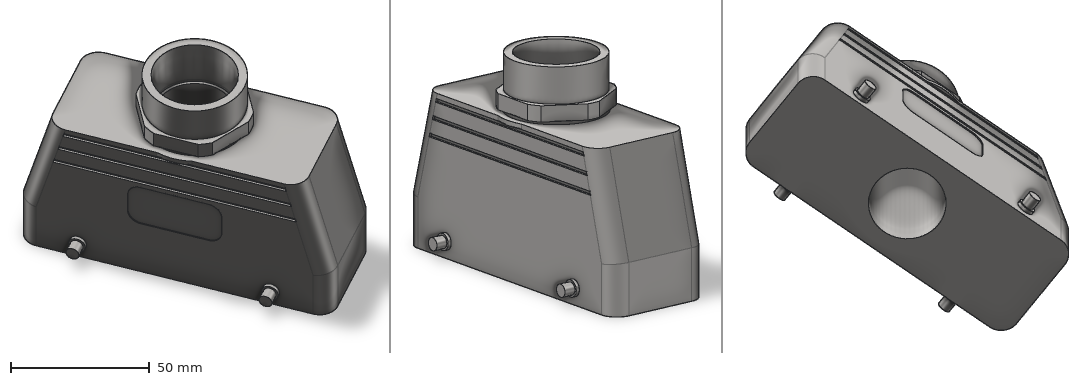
import cadquery as cq
import math

BODY_LENGTH = 120.0
BODY_WIDTH = 43.0
BODY_HEIGHT = 61.0
TOP_LENGTH = 98.0
STRAIGHT_HEIGHT = 20.2
CORNER_RADIUS = 7.0

PAD_DIAMETER = 45.0
PAD_THICKNESS = 1.9

COLLAR_DIAMETER = 39.0
HEX_BOTTOM = 62.4
HEX_TOP = 68.5
HEX_ACROSS_FLATS = 40.0
HEX_ACROSS_CORNERS = HEX_ACROSS_FLATS / math.cos(math.radians(30))
HEX_CORNER_DIAMETER = 43.5
NECK_DIAMETER = 38.0
TOTAL_HEIGHT = 82.5

MOUTH_DIAMETER = 31.5
MOUTH_END_DIAMETER = 30.4
TAPER_DEPTH = 16.5
LEDGE_DEPTH = 17.5
PASSAGE_DIAMETER = 28.0

GROOVE_COUNT = 3
GROOVE_PITCH = 7.0
GROOVE_HEIGHT = 1.5
GROOVE_DEPTH = 1.0
LOWEST_GROOVE = 43.5

PANEL_LENGTH = 36.0
PANEL_HEIGHT = 17.9
PANEL_CENTER_HEIGHT = 32.6
PANEL_CORNER_RADIUS = 5.0
PANEL_DEPTH = 0.5

PIN_SPACING = 73.9
PIN_HEIGHT = 6.5
PIN_DIAMETER = 4.9
PIN_TIP_SPAN = 55.0
PIN_COLLAR_DIAMETER = 6.5
PIN_COLLAR_LENGTH = 1.5


def disc(diameter, bottom, top):
    """Vertical cylinder on the Z axis between two heights."""
    return cq.Workplane("XY").workplane(offset=bottom).circle(diameter / 2).extrude(top - bottom)


def hood_body():
    """Block with a straight foot, sloped ends and rounded upright edges."""
    outline = [
        (-BODY_LENGTH / 2, 0),
        (BODY_LENGTH / 2, 0),
        (BODY_LENGTH / 2, STRAIGHT_HEIGHT),
        (TOP_LENGTH / 2, BODY_HEIGHT),
        (-TOP_LENGTH / 2, BODY_HEIGHT),
        (-BODY_LENGTH / 2, STRAIGHT_HEIGHT),
    ]
    block = cq.Workplane("XZ").polyline(outline).close().extrude(BODY_WIDTH / 2, both=True)
    end_faces = block.faces("<X or >X").edges("|Z")
    sloped_edges = block.edges("not(|X or |Y or |Z)")
    return block.newObject(end_faces.vals() + sloped_edges.vals()).edges().fillet(CORNER_RADIUS)


def groove_cutter():
    """Grooves that stop where the flat long side meets the rounded corners."""
    slope = math.atan2((BODY_LENGTH - TOP_LENGTH) / 2, BODY_HEIGHT - STRAIGHT_HEIGHT)

    def half_flat(height):
        half_length = BODY_LENGTH / 2 - (height - STRAIGHT_HEIGHT) * math.tan(slope)
        return half_length - CORNER_RADIUS / math.cos(slope)

    cutter = cq.Workplane("XY")
    for index in range(GROOVE_COUNT):
        bottom = LOWEST_GROOVE + index * GROOVE_PITCH
        top = bottom + GROOVE_HEIGHT
        outline = [
            (-half_flat(bottom), bottom),
            (half_flat(bottom), bottom),
            (half_flat(top), top),
            (-half_flat(top), top),
        ]
        bar = cq.Workplane("XZ").polyline(outline).close().extrude(BODY_WIDTH / 2, both=True)
        cutter = cutter.add(bar)
    core_width = BODY_WIDTH - 2 * GROOVE_DEPTH
    core = cq.Workplane("XY").box(BODY_LENGTH, core_width, BODY_HEIGHT, centered=(True, True, False))
    return cutter.combine().cut(core)


def panel_cutter():
    """Rounded rectangle sunk into the -Y side."""
    return (
        cq.Workplane("XZ", origin=(0, -BODY_WIDTH / 2, PANEL_CENTER_HEIGHT))
        .rect(PANEL_LENGTH, PANEL_HEIGHT)
        .extrude(-PANEL_DEPTH)
        .edges("|Y")
        .fillet(PANEL_CORNER_RADIUS)
    )


def pins():
    """Four stepped pins, built as two pairs that pass through the body."""
    centers = [(-PIN_SPACING / 2, PIN_HEIGHT), (PIN_SPACING / 2, PIN_HEIGHT)]
    plane = cq.Workplane("XZ").pushPoints(centers)
    tips = plane.circle(PIN_DIAMETER / 2).extrude(PIN_TIP_SPAN / 2, both=True)
    collar_reach = BODY_WIDTH / 2 + PIN_COLLAR_LENGTH
    collars = plane.circle(PIN_COLLAR_DIAMETER / 2).extrude(collar_reach, both=True)
    return tips.union(collars)


def gland():
    """Collar, hexagon with rounded-off corners, and neck."""
    hexagon = (
        cq.Workplane("XY")
        .workplane(offset=HEX_BOTTOM)
        .polygon(6, HEX_ACROSS_CORNERS)
        .extrude(HEX_TOP - HEX_BOTTOM)
        .intersect(disc(HEX_CORNER_DIAMETER, HEX_BOTTOM, HEX_TOP))
    )
    collar = disc(COLLAR_DIAMETER, BODY_HEIGHT, HEX_BOTTOM)
    neck = disc(NECK_DIAMETER, HEX_TOP, TOTAL_HEIGHT)
    return collar.union(hexagon).union(neck)


def bore_cutter():
    """Tapered mouth, straight step and the passage below, down through the body."""
    ledge_height = TOTAL_HEIGHT - LEDGE_DEPTH
    taper_bottom = TOTAL_HEIGHT - TAPER_DEPTH
    half_profile = [
        (0, 0),
        (PASSAGE_DIAMETER / 2, 0),
        (PASSAGE_DIAMETER / 2, ledge_height),
        (MOUTH_END_DIAMETER / 2, ledge_height),
        (MOUTH_END_DIAMETER / 2, taper_bottom),
        (MOUTH_DIAMETER / 2, TOTAL_HEIGHT),
        (0, TOTAL_HEIGHT),
    ]
    return cq.Workplane("XZ").polyline(half_profile).close().revolve(360, (0, 0), (0, 1))


pad = disc(PAD_DIAMETER, BODY_HEIGHT - PAD_THICKNESS, BODY_HEIGHT)
grooved_body = hood_body().cut(groove_cutter()).cut(panel_cutter())
result = grooved_body.union(pad).union(pins()).union(gland()).cut(bore_cutter())